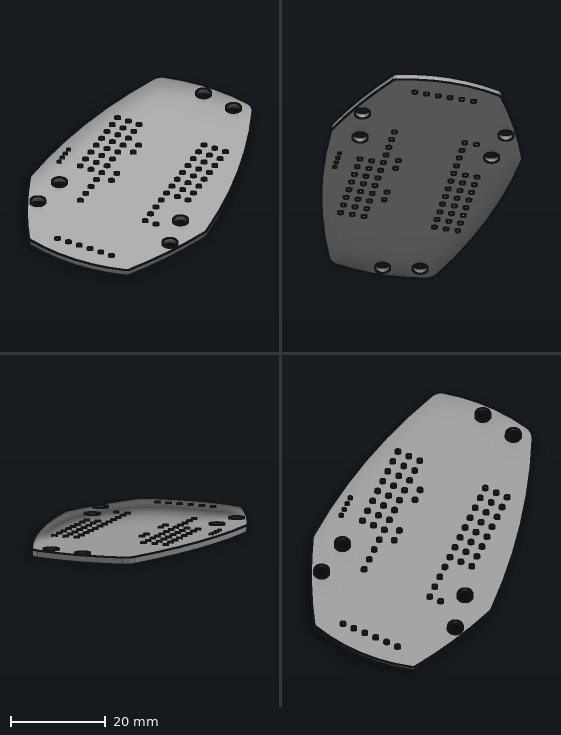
import cadquery as cq
import math

thickness = 1.6
length = 63.77
shoulder_x, shoulder_y = 11.18, 30.38
waist_x, waist_y = 20.725, -11.3
foot_x, foot_y = 11.58, -30.15
side_radius = 114.5
lower_side_radius = 95.0
shoulder_fillet = 3.0
waist_fillet = 2.0
foot_fillet = 1.0

pitch = 2.54
pin_diameter = 1.02
grid_top_y = 14.18
grid_rows = 8
inner_rows = 12
inner_column_x = 3 * pitch
grid_columns = 3
extra_pin_x = inner_column_x + pitch
bottom_row_count = 6
bottom_row_y = -27.2
pair_x = -4.68
pair_count = 2
pair_top_ys = (8.0, -2.42)

small_diameter = 0.7
small_count = 4
small_pitch = 1.5
small_x = -17.3
small_top_y = 0.15

mount_diameter = 3.2
mount_points = [
    (0, 29.45),
    (7.78, 27.92),
    (-14.25, -10.35),
    (14.25, -10.35),
    (-15.54, -18.02),
    (15.54, -18.02),
]


def arc_middle(start, end, radius):
    """Middle of the arc from start to end that bulges to the right of the direction of travel."""
    dx = end[0] - start[0]
    dy = end[1] - start[1]
    chord = math.hypot(dx, dy)
    bulge = radius - math.sqrt(radius**2 - (chord / 2) ** 2)
    middle_x = (start[0] + end[0]) / 2 + bulge * dy / chord
    middle_y = (start[1] + end[1]) / 2 - bulge * dx / chord
    return middle_x, middle_y


def mirrored(point):
    return -point[0], point[1]


def column(x, top_y, count, spacing):
    """Hole centres running down from top_y."""
    return [(x, top_y - i * spacing) for i in range(count)]


def make_board():
    shoulder = (shoulder_x, shoulder_y)
    waist = (waist_x, waist_y)
    foot = (foot_x, foot_y)
    lower_middle = arc_middle(foot, waist, lower_side_radius)
    side_middle = arc_middle(waist, shoulder, side_radius)
    board = (
        cq.Workplane("XY")
        .moveTo(*foot)
        .threePointArc(lower_middle, waist)
        .threePointArc(side_middle, shoulder)
        .threePointArc((0, length / 2), mirrored(shoulder))
        .threePointArc(mirrored(side_middle), mirrored(waist))
        .threePointArc(mirrored(lower_middle), mirrored(foot))
        .threePointArc((0, -length / 2), foot)
        .close()
        .extrude(thickness)
    )
    board = board.edges("|Z").edges(">X or <X").fillet(waist_fillet)
    board = board.edges("|Z").edges(">Y").fillet(shoulder_fillet)
    board = board.edges("|Z").edges("<Y").fillet(foot_fillet)
    return board


def pin_points():
    points = []
    for side in (-1, 1):
        for i in range(grid_columns):
            rows = inner_rows if i == 0 else grid_rows
            x = side * (inner_column_x + i * pitch)
            points += column(x, grid_top_y, rows, pitch)
    points.append((extra_pin_x, grid_top_y - (inner_rows - 1) * pitch))
    for top_y in pair_top_ys:
        points += column(pair_x, top_y, pair_count, pitch)
    for i in range(bottom_row_count):
        points.append(((i - (bottom_row_count - 1) / 2) * pitch, bottom_row_y))
    return points


def drill(board, points, diameter):
    cutters = cq.Workplane("XY").pushPoints(points).circle(diameter / 2).extrude(thickness)
    return board.cut(cutters)


result = make_board()
result = drill(result, mount_points, mount_diameter)
result = drill(result, pin_points(), pin_diameter)
result = drill(result, column(small_x, small_top_y, small_count, small_pitch), small_diameter)